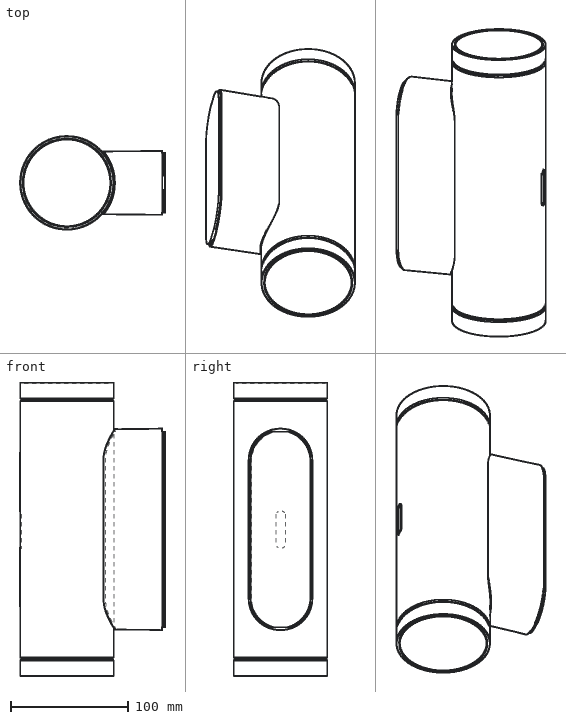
import cadquery as cq

tube_radius = 40.0
tube_height = 250.2
edge_chamfer = 0.4

cap_height = 13.3
cap_groove_width = 2.8
cap_groove_floor_width = 0.8
cap_groove_depth = 1.2

lens_radius = 36.9
lens_groove_width = 0.8
lens_groove_depth = 0.5

slot_width = 8.0
slot_length = 32.0
slot_depth = 1.0

overall_depth = 123.62
wall_x = overall_depth - tube_radius
back_plate_thickness = 2.5
mount_end_x = wall_x - back_plate_thickness
mount_radius = 27.3
mount_straight = 117.4
mount_draft = 0.5

saddle_gap = 1.0
saddle_neck_inset = 2.0

back_plate_inset = 1.7
notch_width = 14.0
notch_depth = 1.0

plate_groove_width = 0.8
plate_groove_depth = 0.3


def make_tube():
    body = cq.Workplane("XY").cylinder(tube_height, tube_radius)
    body = body.faces("|Z").edges().chamfer(edge_chamfer)
    cap_groove_z = tube_height / 2 - cap_height - cap_groove_width / 2
    cap_groove_floor_radius = tube_radius - cap_groove_depth
    cap_groove = (
        cq.Workplane("XZ")
        .moveTo(tube_radius, -cap_groove_width / 2)
        .lineTo(cap_groove_floor_radius, -cap_groove_floor_width / 2)
        .lineTo(cap_groove_floor_radius, cap_groove_floor_width / 2)
        .lineTo(tube_radius, cap_groove_width / 2)
        .close()
        .revolve(360, (0, 0, 0), (0, 1, 0))
    )
    lens_groove = (
        cq.Workplane("XY")
        .circle(lens_radius + lens_groove_width)
        .circle(lens_radius)
        .extrude(lens_groove_depth, both=True)
    )
    for side in (-1, 1):
        body = body.cut(cap_groove.translate((0, 0, side * cap_groove_z)))
        body = body.cut(lens_groove.translate((0, 0, side * tube_height / 2)))
    slot = (
        cq.Workplane("YZ", origin=(slot_depth - tube_radius, 0, 0))
        .slot2D(slot_length, slot_width, 90)
        .extrude(-2 * slot_depth)
    )
    return body.cut(slot)


def upright_stadium(end_radius, x_start, length, draft=0):
    """Extrude a stadium along X; every stadium shares the same straight length."""
    return (
        cq.Workplane("YZ", origin=(x_start, 0, 0))
        .slot2D(mount_straight + 2 * end_radius, 2 * end_radius, 90)
        .extrude(length, taper=draft)
    )


def make_back_plate():
    plate_radius = mount_radius - back_plate_inset
    plate = upright_stadium(plate_radius, mount_end_x, back_plate_thickness)
    groove_floor = upright_stadium(plate_radius - plate_groove_depth, mount_end_x, plate_groove_width)
    groove = upright_stadium(mount_radius, mount_end_x, plate_groove_width).cut(groove_floor)
    plate = plate.cut(groove)
    notch = cq.Workplane("XY").box(2 * back_plate_thickness, notch_width, 2 * notch_depth)
    plate_end_z = mount_straight / 2 + plate_radius
    for side in (-1, 1):
        plate = plate.cut(notch.translate((wall_x, 0, side * plate_end_z)))
    return plate


def make_mount():
    clearance = cq.Workplane("XY").cylinder(tube_height, tube_radius + saddle_gap)
    body = upright_stadium(mount_radius, mount_end_x, -mount_end_x, mount_draft).cut(clearance)
    neck_radius = mount_radius - saddle_neck_inset
    neck = upright_stadium(neck_radius, mount_end_x, -mount_end_x, mount_draft)
    saddle = cq.Workplane("XY").cylinder(tube_height, tube_radius)
    return body.union(neck.cut(saddle)).union(make_back_plate())


lamp_tube = make_tube()
wall_mount = make_mount()

result = cq.Compound.makeCompound([lamp_tube.val(), wall_mount.val()])